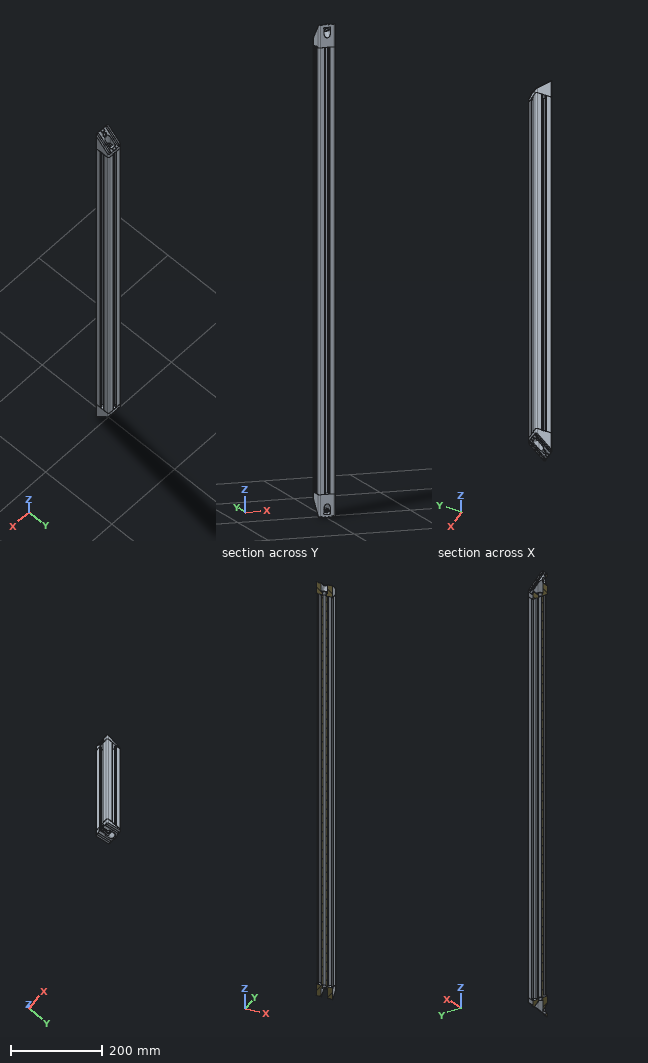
import cadquery as cq
import math

profile_length = 1000.0
side = 40.0
corner_radius = 4.0
slot_opening = 8.0
slot_mouth = 11.8
bevel_depth = 0.9
lip_thickness = 4.5
chamber_width = 20.0
chamber_floor_width = 9.0
slot_depth = 12.25
core_bore = 6.8

heel_height = 11.975
rib_width = slot_opening
rib_rise = 1.44
tip_rib_end_y = -15.0
screw_clearance = 9.0
screw_head_width = 15.0
slope_screw_z = 32.0
seat_thickness = 5.0
base_thickness = 8.0
ramp_foot_y = 6.0
ramp_corner_radius = 1.5
groove_x = 13.5
groove_width = 4.0
groove_depth = 0.5
groove_end_y = 18.0

half_side = side / 2
half_length = profile_length / 2
head_radius = screw_head_width / 2
tip_height = heel_height + side
rib_height = rib_rise * math.sqrt(2)
slope_middle_z = heel_height + half_side
ramp_run = (slope_middle_z - base_thickness - ramp_foot_y) / 2
ramp_top_y = ramp_foot_y + ramp_run
slope_screw_length = (slope_middle_z + half_side - slope_screw_z) / math.sqrt(2)
seat_depth = slope_screw_length - seat_thickness


def square_bar(height):
    return cq.Workplane("XY").rect(side, side).extrude(height).edges("|Z").fillet(corner_radius)


def slot_cutter():
    """One T-slot of the profile, in its -Y side, standing on Z = 0."""
    half_opening = slot_opening / 2
    face_y = -half_side
    right_half = [
        (slot_mouth / 2, face_y),
        (half_opening, face_y + bevel_depth),
        (half_opening, face_y + lip_thickness),
        (chamber_width / 2, face_y + lip_thickness),
        (chamber_floor_width / 2, face_y + slot_depth),
    ]
    left_half = [(-x, y) for x, y in reversed(right_half)]
    return cq.Workplane("XY").polyline(right_half + left_half).close().extrude(profile_length)


def make_profile():
    body = square_bar(profile_length)
    for turn in range(4):
        body = body.cut(slot_cutter().rotate((0, 0, 0), (0, 0, 1), 90 * turn))
    body = body.faces(">Z").workplane().hole(core_bore)
    return body.translate((0, 0, -half_length))


def slope_plane():
    """Plane of the mating slope; its local Y runs down the slope."""
    return cq.Plane(origin=(0, 0, slope_middle_z), xDir=(1, 0, 0), normal=(0, 1, 1))


def slope_block(x_middle, width, y_start, y_end, height):
    """Block standing on the slope (sunk into it if height is negative) from y_start to y_end."""
    length = (y_end - y_start) * math.sqrt(2)
    middle = (y_start + y_end) / 2 * math.sqrt(2)
    return cq.Workplane(slope_plane()).center(x_middle, middle).rect(width, length).extrude(height)


def make_wedge():
    wedge_outline = [(-half_side, 0), (half_side, 0), (half_side, heel_height), (-half_side, tip_height)]
    wedge = cq.Workplane("YZ").polyline(wedge_outline).close().extrude(half_side, both=True)
    return square_bar(tip_height).intersect(wedge)


def slope_screw_cutter():
    """Hole square to the slope, with a U-shaped head pocket open to the upright face."""
    entry = cq.Plane(origin=(0, -half_side, slope_screw_z), xDir=(1, 0, 0), normal=(0, 1, 1))
    hole = cq.Workplane(entry).circle(screw_clearance / 2).extrude(side)
    start = cq.Workplane(entry).workplane(offset=-half_side)
    pocket_length = half_side + seat_depth
    round_end = start.circle(head_radius).extrude(pocket_length)
    open_end = start.center(0, -half_side).rect(screw_head_width, side).extrude(pocket_length)
    return hole.union(round_end).union(open_end)


def core_screw_cutter():
    """Upright hole into the core bore, with a U-shaped head pocket that ends in a ramp."""
    hole = cq.Workplane("XY").circle(screw_clearance / 2).extrude(side)
    ramp_outline = [
        (-side, base_thickness),
        (ramp_foot_y, base_thickness),
        (ramp_foot_y + side, base_thickness + side),
        (-side, base_thickness + side),
    ]
    pocket = cq.Workplane("YZ").polyline(ramp_outline).close().extrude(head_radius, both=True)
    base = cq.Workplane("XY")
    u_shape = base.circle(head_radius).extrude(2 * side)
    u_shape = u_shape.union(base.center(0, side).rect(screw_head_width, 2 * side).extrude(2 * side))
    pocket = pocket.intersect(u_shape)
    ramp_edges = cq.selectors.ParallelDirSelector(cq.Vector(0, 1, 1))
    pocket = pocket.edges(ramp_edges).fillet(ramp_corner_radius)
    return hole.union(pocket)


def make_bracket():
    """Upper bracket: a wedge with locating ribs, two screw holes and two shallow slope grooves."""
    body = make_wedge()
    tip_rib = slope_block(0, rib_width, -half_side, tip_rib_end_y, rib_height)
    heel_rib = slope_block(0, rib_width, ramp_top_y, half_side, rib_height)
    body = body.union(tip_rib).union(heel_rib)
    body = body.cut(slope_screw_cutter()).cut(core_screw_cutter())
    for x in (-groove_x, groove_x):
        body = body.cut(slope_block(x, groove_width, -groove_end_y, groove_end_y, -groove_depth))
    return body


profile = make_profile()
upper_bracket = make_bracket().translate((0, 0, half_length))
lower_bracket = upper_bracket.mirror("XY")

result = cq.Compound.makeCompound([profile.val(), upper_bracket.val(), lower_bracket.val()])